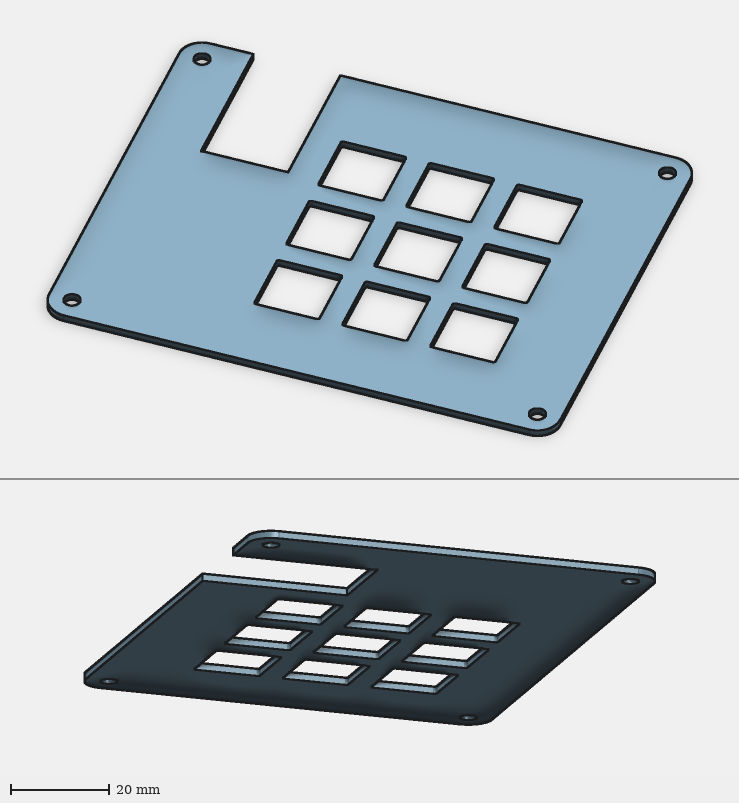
import cadquery as cq

length = 110.6
width = 87.3
thickness = 1.5
corner_radius = 5.0

hole_diameter = 3.4
hole_inset = corner_radius

notch_offset = 14.3
notch_width = 18.8
notch_depth = 31.1

grid_count = 3
key_pitch = 19.0
key_size = 14.0
key_corner_radius = 0.5
grid_center_x = 10.8
grid_center_y = -1.0


def make_plate():
    """Flat rectangular plate with rounded corners, resting on Z = 0."""
    plate = cq.Workplane("XY").box(length, width, thickness, centered=(True, True, False))
    return plate.edges("|Z").fillet(corner_radius)


def make_mounting_holes():
    """Cutters for the four through holes in the corners."""
    return (
        cq.Workplane("XY")
        .rect(length - 2 * hole_inset, width - 2 * hole_inset, forConstruction=True)
        .vertices()
        .circle(hole_diameter / 2)
        .extrude(thickness)
    )


def make_notch():
    """Cutter for the rectangular notch in the +Y edge."""
    center_x = -length / 2 + notch_offset + notch_width / 2
    center_y = width / 2 - notch_depth / 2
    return cq.Workplane("XY").center(center_x, center_y).rect(notch_width, notch_depth).extrude(thickness)


def make_key_openings():
    """Cutters for the grid of square openings with slightly rounded corners."""
    return (
        cq.Workplane("XY")
        .center(grid_center_x, grid_center_y)
        .rarray(key_pitch, key_pitch, grid_count, grid_count)
        .rect(key_size, key_size)
        .extrude(thickness)
        .edges("|Z")
        .fillet(key_corner_radius)
    )


result = make_plate().cut(make_mounting_holes()).cut(make_notch()).cut(make_key_openings())